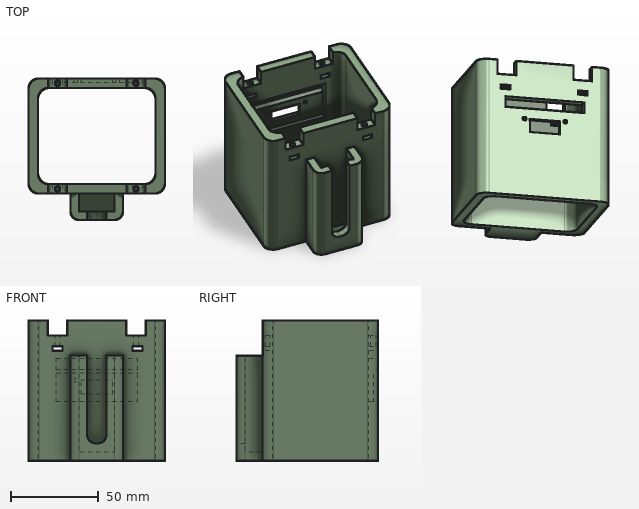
import cadquery as cq

box_x = 77.8
box_y = 65.7
box_z = 80.0
wall = 5.55
corner_radius = 6.0
outer_back = box_y / 2
outer_front = -box_y / 2
inner_back = outer_back - wall

notch_width = 11.0
notch_depth = 8.5
notch_inset = 2 * wall
notch_center_x = box_x / 2 - notch_inset - notch_width / 2
notch_floor = box_z - notch_depth
screw_diameter = 3.0

nut_slot_width = 5.6
nut_slot_height = 2.5
nut_slot_bottom = 62.8
nut_slot_centers_x = (-22.3, 23.2)

hanger_width = 30.0
hanger_depth = 15.0
hanger_height = 60.0
hanger_wall = 5.0
hanger_radius = 5.0
hanger_front = outer_front - hanger_depth
pocket_floor = 5.0
hanger_slot_width = 11.0
hanger_slot_bottom = 10.0
hanger_slot_radius = 5.0

recess_width = 46.3
recess_bottom = 34.0
recess_top = 58.4
panel_thickness = 2.5
panel_inner_face = outer_back - panel_thickness
panel_top = 50.2
panel_chamfer = 2.0
panel_land = panel_top + panel_chamfer

window_width = 17.7
panel_margin = 4.2
window_bottom = recess_bottom + panel_margin
window_top = panel_top - panel_margin
panel_hole_diameter = 2.0
panel_hole_x = 12.0
panel_hole_z = window_top


def block(center_x, size_x, y_from, y_to, z_from, z_to):
    """Box centred on center_x that spans the given Y and Z ranges."""
    solid = cq.Workplane("XY").box(size_x, y_to - y_from, z_to - z_from, centered=(True, False, False))
    return solid.translate((center_x, y_from, z_from))


def make_sleeve():
    outer = cq.Workplane("XY").rect(box_x, box_y).extrude(box_z).edges("|Z").fillet(corner_radius)
    bore = cq.Workplane("XY").rect(box_x - 2 * wall, box_y - 2 * wall).extrude(box_z)
    return outer.cut(bore.edges("|Z").fillet(corner_radius))


def make_hanger():
    body = block(0, hanger_width, hanger_front, outer_front, 0, hanger_height)
    body = body.edges("|Z and <Y").fillet(hanger_radius)
    pocket_width = hanger_width - 2 * hanger_wall
    pocket_front = hanger_front + hanger_wall
    pocket = block(0, pocket_width, pocket_front, outer_front, pocket_floor, hanger_height)
    slot = block(0, hanger_slot_width, hanger_front, pocket_front, hanger_slot_bottom, hanger_height)
    slot = slot.edges("|Y and <Z").fillet(hanger_slot_radius)
    return body.cut(pocket).cut(slot)


def cut_rim_notches(body):
    for side in (-1, 1):
        center_x = side * notch_center_x
        body = body.cut(block(center_x, notch_width, outer_front, outer_back, notch_floor, box_z))
    return body


def cut_screw_holes(body):
    """Vertical holes in the middle of the wall, from each notch down into its nut slot."""
    hole_y = box_y / 2 - wall / 2
    centers = [(sx * notch_center_x, sy * hole_y) for sx in (-1, 1) for sy in (-1, 1)]
    holes = cq.Workplane("XY", origin=(0, 0, nut_slot_bottom)).pushPoints(centers)
    return body.cut(holes.circle(screw_diameter / 2).extrude(notch_floor - nut_slot_bottom))


def cut_nut_slots(body):
    slot_top = nut_slot_bottom + nut_slot_height
    for center_x in nut_slot_centers_x:
        body = body.cut(block(center_x, nut_slot_width, outer_front, outer_back, nut_slot_bottom, slot_top))
    return body


def cut_back_recess(body):
    """Recess stepped over the chamfered panel and open to the outside above it."""
    profile = (
        cq.Workplane("YZ", origin=(-recess_width / 2, 0, 0))
        .moveTo(inner_back, recess_bottom)
        .lineTo(panel_inner_face, recess_bottom)
        .lineTo(panel_inner_face, panel_top)
        .lineTo(panel_inner_face + panel_chamfer, panel_land)
        .lineTo(outer_back, panel_land)
        .lineTo(outer_back, recess_top)
        .lineTo(inner_back, recess_top)
        .close()
    )
    return body.cut(profile.extrude(recess_width))


def cut_panel_openings(body):
    body = body.cut(block(0, window_width, panel_inner_face, outer_back, window_bottom, window_top))
    for side in (-1, 1):
        hole = cq.Workplane("XZ", origin=(side * panel_hole_x, outer_back, panel_hole_z))
        body = body.cut(hole.circle(panel_hole_diameter / 2).extrude(panel_thickness))
    return body


result = make_sleeve()
result = cut_rim_notches(result)
result = cut_nut_slots(result)
result = cut_screw_holes(result)
result = cut_back_recess(result)
result = cut_panel_openings(result)
result = result.union(make_hanger())